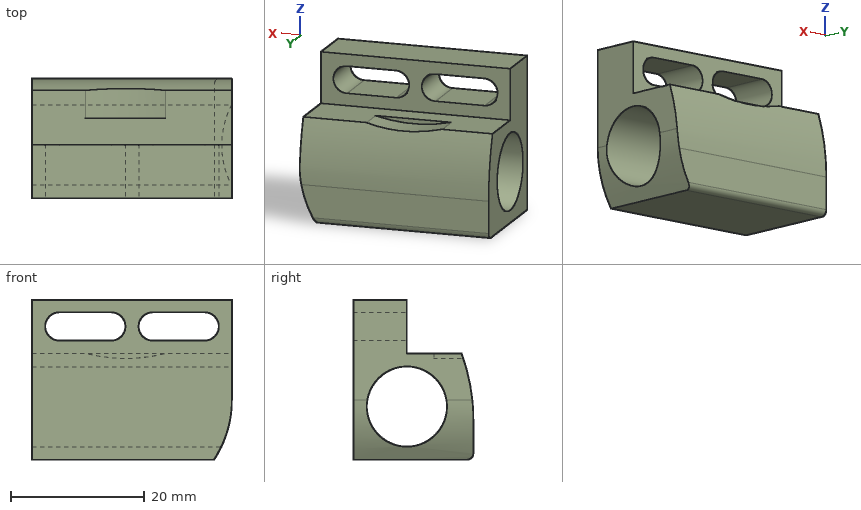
import cadquery as cq

length = 30.0
depth = 18.0
height = 24.0

plate_thickness = 8.0
step_height = 16.0

rear_arc_start_height = 6.0
rear_arc_setback = 1.8
rear_edge_radius = 1.0

end_arc_height = 9.0
end_arc_setback = 2.7

bore_diameter = 12.0
bore_height = step_height / 2

slot_length = 12.0
slot_width = 4.2
slot_height = 20.0
slot_gap = 2.0

hollow_start = 8.0
hollow_width = 12.0
hollow_front = 12.0
hollow_sag = 0.75


def tangent_arc_radius(run, setback):
    """Radius of an arc that starts along the run and ends offset by the setback."""
    return (run**2 + setback**2) / (2 * setback)


def make_body():
    """Stepped L section extruded along X."""
    return (
        cq.Workplane("YZ")
        .lineTo(depth - rear_edge_radius, 0)
        .radiusArc((depth, rear_edge_radius), -rear_edge_radius)
        .lineTo(depth, rear_arc_start_height)
        .tangentArcPoint((depth - rear_arc_setback, step_height), relative=False)
        .lineTo(plate_thickness, step_height)
        .lineTo(plate_thickness, height)
        .lineTo(0, height)
        .close()
        .extrude(length)
    )


def make_end_envelope():
    """Front outline, with the curved corner, extruded through the full depth."""
    end_radius = tangent_arc_radius(end_arc_height, end_arc_setback)
    return (
        cq.Workplane("XZ")
        .lineTo(length - end_arc_setback, 0)
        .radiusArc((length, end_arc_height), -end_radius)
        .lineTo(length, height)
        .lineTo(0, height)
        .close()
        .extrude(-depth)
    )


def make_bore():
    return (
        cq.Workplane("YZ")
        .center(plate_thickness, bore_height)
        .circle(bore_diameter / 2)
        .extrude(length)
    )


def make_slots():
    slot_offset = (slot_length + slot_gap) / 2
    return (
        cq.Workplane("XZ")
        .center(length / 2, slot_height)
        .pushPoints([(-slot_offset, 0), (slot_offset, 0)])
        .slot2D(slot_length, slot_width)
        .extrude(-plate_thickness)
    )


def make_hollow():
    """Circular segment below the step, open through the rear face."""
    hollow_end = hollow_start + hollow_width
    hollow_middle = hollow_start + hollow_width / 2
    return (
        cq.Workplane("XZ", origin=(0, hollow_front, 0))
        .moveTo(hollow_start, step_height)
        .threePointArc((hollow_middle, step_height - hollow_sag), (hollow_end, step_height))
        .close()
        .extrude(hollow_front - depth)
    )


result = (
    make_body()
    .intersect(make_end_envelope())
    .cut(make_bore())
    .cut(make_slots())
    .cut(make_hollow())
)